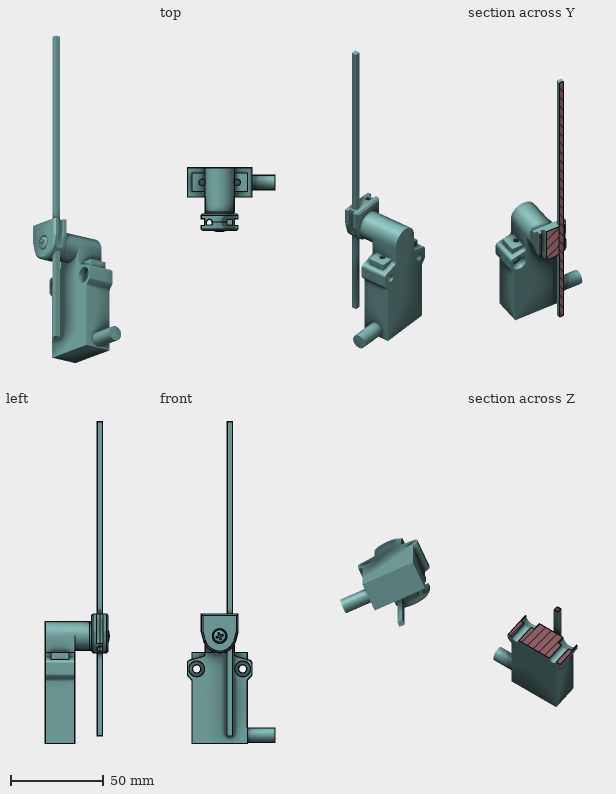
import cadquery as cq
import math


TOTAL_HEIGHT = 174.1
TOTAL_WIDTH = 47.5
TOTAL_DEPTH = 34.6

BODY_WIDTH = 30.0
BODY_DEPTH = 16.0
BODY_TOP = 49.3
NECK_WIDTH = 15.8
TERMINAL_DEPTH = 10.0
TERMINAL_HOLE_DIAMETER = 3.5
TERMINAL_HOLE_DEPTH = 2.6
TERMINAL_HOLE_PITCH = 19.0

EAR_SPAN = 35.0
EAR_ROUND = 2.0
EAR_SLOPE = math.radians(15)
EAR_CORNER_Z = 47.4
EAR_SIDE_BOTTOM = 36.9
EAR_UNDERSIDE_SLOPE = math.radians(45)
MOUNT_PITCH = 24.9
MOUNT_Z = 40.4
MOUNT_HOLE_DIAMETER = 4.4
MOUNT_BORE_DIAMETER = 8.5
MOUNT_BORE_DEPTH = 4.5

AXIS_Z = 58.1
HEAD_LENGTH = 24.0

CABLE_DIAMETER = 8.0
CABLE_Z = 4.5

CLAMP_WIDTH = 20.0
CLAMP_ROUND = 9.0
CLAMP_SHOULDER = 2.5
CLAMP_RISE = 12.0
CLAMP_THICKNESS = 9.0
CLAMP_CHAMFER = 0.95
SIDE_GROOVE_WIDTH = 3.5
SIDE_GROOVE_DEPTH = 2.0
HUB_DIAMETER = 15.7
HUB_LENGTH = 0.95

ROD_SIZE = 3.0
ROD_BOTTOM = 4.2
ROD_OFFSET = 5.5

SCREW_BORE_DIAMETER = 8.0
SCREW_HEAD_DIAMETER = 6.6
SCREW_BORE_DEPTH = 2.1
RECESS_LENGTH = 3.8
RECESS_WIDTH = 0.9
RECESS_DEPTH = 1.4
RECESS_TURN = 20

FRONT_Y = -BODY_DEPTH / 2
BACK_Y = BODY_DEPTH / 2
HEAD_FRONT_Y = BACK_Y - HEAD_LENGTH
CLAMP_BACK_Y = HEAD_FRONT_Y - HUB_LENGTH
SPLIT_Y = CLAMP_BACK_Y - CLAMP_THICKNESS / 2
CLAMP_HALF_WIDTH = CLAMP_WIDTH / 2
CLAMP_FRONT_Y = CLAMP_BACK_Y - CLAMP_THICKNESS
SCREW_TIP_Y = BACK_Y - TOTAL_DEPTH
CABLE_END_X = TOTAL_WIDTH - EAR_SPAN / 2


def front_plane(y, z=0.0):
    """Sketch plane at depth y with +X right, +Z up and its normal toward the front."""
    return cq.Workplane("XZ", origin=(0, y, z))


def block(x_size, y_size, z_bottom, z_top, x=0.0, y=0.0):
    """Upright box centred at (x, y) between two heights."""
    return cq.Workplane("XY", origin=(x, y, z_bottom)).rect(x_size, y_size).extrude(z_top - z_bottom)


def make_profile():
    """Front outline with an ear on each side, sloping above and slanted below, and rounded bends."""
    neck = NECK_WIDTH / 2
    wall = BODY_WIDTH / 2
    tip = EAR_SPAN / 2
    ear_bends = [
        (neck, EAR_CORNER_Z),
        (tip, EAR_CORNER_Z - (tip - neck) * math.tan(EAR_SLOPE)),
        (tip, EAR_SIDE_BOTTOM),
        (wall, EAR_SIDE_BOTTOM - (tip - wall) * math.tan(EAR_UNDERSIDE_SLOPE)),
    ]
    right_side = [(neck, BODY_TOP), *ear_bends, (wall, 0)]
    left_side = [(-x, z) for x, z in reversed(right_side)]
    profile = front_plane(BACK_Y).polyline(right_side + left_side).close().extrude(BODY_DEPTH)
    for x, z in ear_bends:
        for side in (-1, 1):
            bend = cq.selectors.NearestToPointSelector((side * x, 0, z))
            profile = profile.edges(bend).fillet(EAR_ROUND)
    return profile


def make_housing():
    terminal_blocks = block(BODY_WIDTH, TERMINAL_DEPTH, EAR_SIDE_BOTTOM, BODY_TOP)
    housing = make_profile().union(terminal_blocks)
    mounts = [(-MOUNT_PITCH / 2, 0), (MOUNT_PITCH / 2, 0)]
    holes = front_plane(BACK_Y, MOUNT_Z).pushPoints(mounts).circle(MOUNT_HOLE_DIAMETER / 2).extrude(BODY_DEPTH)
    bores = (
        front_plane(FRONT_Y, MOUNT_Z).pushPoints(mounts)
        .circle(MOUNT_BORE_DIAMETER / 2).extrude(-MOUNT_BORE_DEPTH)
    )
    terminals = [(-TERMINAL_HOLE_PITCH / 2, 0), (TERMINAL_HOLE_PITCH / 2, 0)]
    terminal_holes = (
        cq.Workplane("XY", origin=(0, 0, BODY_TOP)).pushPoints(terminals)
        .circle(TERMINAL_HOLE_DIAMETER / 2).extrude(-TERMINAL_HOLE_DEPTH)
    )
    return housing.cut(holes).cut(bores).cut(terminal_holes)


def make_head():
    barrel = front_plane(BACK_Y, AXIS_Z).circle(NECK_WIDTH / 2).extrude(HEAD_LENGTH)
    neck = block(NECK_WIDTH, BODY_DEPTH, BODY_TOP, AXIS_Z)
    return barrel.union(neck)


def make_cable():
    start_x = BODY_WIDTH / 2
    plane = cq.Workplane("YZ", origin=(start_x, 0, CABLE_Z))
    return plane.circle(CABLE_DIAMETER / 2).extrude(CABLE_END_X - start_x)


def make_clamp_blank():
    """Both plates as one shield-shaped piece, with tapered sides tangent to the round end."""
    shoulder_distance = math.hypot(CLAMP_HALF_WIDTH, CLAMP_SHOULDER)
    shoulder_angle = math.atan2(CLAMP_SHOULDER, CLAMP_HALF_WIDTH)
    tangent_angle = shoulder_angle - math.acos(CLAMP_ROUND / shoulder_distance)
    tangent_x = CLAMP_ROUND * math.cos(tangent_angle)
    tangent_z = CLAMP_ROUND * math.sin(tangent_angle)
    blank = (
        front_plane(CLAMP_BACK_Y, AXIS_Z)
        .moveTo(-CLAMP_HALF_WIDTH, CLAMP_RISE)
        .lineTo(CLAMP_HALF_WIDTH, CLAMP_RISE)
        .lineTo(CLAMP_HALF_WIDTH, CLAMP_SHOULDER)
        .lineTo(tangent_x, tangent_z)
        .threePointArc((0, -CLAMP_ROUND), (-tangent_x, tangent_z))
        .lineTo(-CLAMP_HALF_WIDTH, CLAMP_SHOULDER)
        .close()
        .extrude(CLAMP_THICKNESS)
    )
    blank = blank.faces("<Y or >Y").chamfer(CLAMP_CHAMFER)
    for side in (-1, 1):
        groove_x = side * (CLAMP_HALF_WIDTH - SIDE_GROOVE_DEPTH / 2)
        groove = block(SIDE_GROOVE_DEPTH, SIDE_GROOVE_WIDTH, 0, TOTAL_HEIGHT, groove_x, SPLIT_Y)
        blank = blank.cut(groove)
    return blank


def make_rod():
    return block(ROD_SIZE, ROD_SIZE, ROD_BOTTOM, TOTAL_HEIGHT, ROD_OFFSET, SPLIT_Y)


def make_spare_channel():
    """Channel for a round or square rod: half round in the back plate, square in the front plate."""
    round_part = cq.Workplane("XY", origin=(-ROD_OFFSET, SPLIT_Y, 0)).circle(ROD_SIZE / 2).extrude(TOTAL_HEIGHT)
    square_part = block(ROD_SIZE, ROD_SIZE / 2, 0, TOTAL_HEIGHT, -ROD_OFFSET, SPLIT_Y - ROD_SIZE / 4)
    return round_part.union(square_part)


def make_clamp_plate(y_start, y_end):
    """The part of the clamp between two depths, with both rod channels."""
    slab = block(CLAMP_WIDTH, y_end - y_start, 0, TOTAL_HEIGHT, y=(y_start + y_end) / 2)
    return make_clamp_blank().intersect(slab).cut(make_rod()).cut(make_spare_channel())


def make_back_plate():
    hub = front_plane(HEAD_FRONT_Y, AXIS_Z).circle(HUB_DIAMETER / 2).extrude(HUB_LENGTH)
    return make_clamp_plate(SPLIT_Y, CLAMP_BACK_Y).union(hub)


def make_front_plate():
    screw_bore = front_plane(CLAMP_FRONT_Y, AXIS_Z).circle(SCREW_BORE_DIAMETER / 2).extrude(-SCREW_BORE_DEPTH)
    return make_clamp_plate(CLAMP_FRONT_Y, SPLIT_Y).cut(screw_bore)


def make_screw():
    radius = SCREW_HEAD_DIAMETER / 2
    seat_y = CLAMP_FRONT_Y + SCREW_BORE_DEPTH
    dome_height = CLAMP_FRONT_Y - SCREW_TIP_Y
    dome_radius = (radius ** 2 + dome_height ** 2) / (2 * dome_height)
    dome = cq.Workplane("XY").sphere(dome_radius).translate((0, SCREW_TIP_Y + dome_radius, AXIS_Z))
    head = front_plane(seat_y, AXIS_Z).circle(radius).extrude(seat_y - SCREW_TIP_Y).intersect(dome)
    recess_plane = front_plane(SCREW_TIP_Y + RECESS_DEPTH, AXIS_Z).transformed(rotate=(0, 0, RECESS_TURN))
    for length, height in ((RECESS_LENGTH, RECESS_WIDTH), (RECESS_WIDTH, RECESS_LENGTH)):
        head = head.cut(recess_plane.rect(length, height).extrude(RECESS_DEPTH))
    return head


housing = make_housing()
head = make_head()
cable = make_cable()
back_plate = make_back_plate()
front_plate = make_front_plate()
rod = make_rod()
screw = make_screw()

result = cq.Compound.makeCompound([
    housing.val(),
    head.val(),
    cable.val(),
    back_plate.val(),
    front_plate.val(),
    rod.val(),
    screw.val(),
])